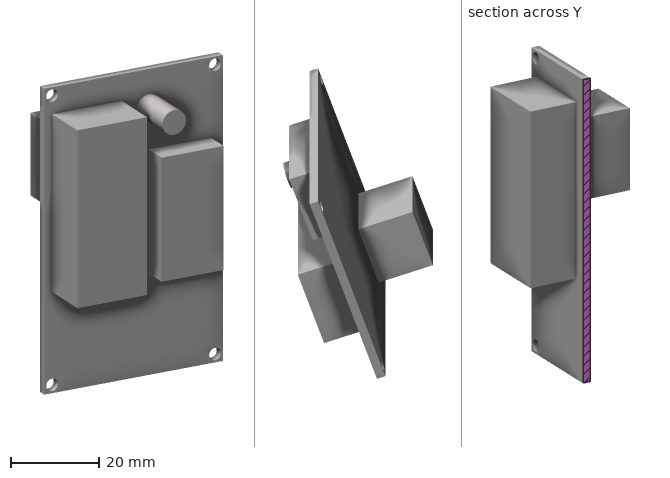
import cadquery as cq

board_thickness = 2.0
board_width = 46.0
board_height = 74.0
hole_diameter = 3.0
hole_inset = 2.0

rear_block_depth = 13.0
rear_block_width = 14.0
rear_block_height = 20.0
rear_block_side_margin = 4.5
rear_block_top_margin = 11.5

tall_block_depth = 12.0
tall_block_width = 18.0
tall_block_height = 43.0
tall_block_side_margin = 2.0
tall_block_top_margin = 6.5

post_diameter = 6.0
post_length = 12.0
post_side_margin = 27.0
post_top_margin = 9.0

low_block_depth = 6.0
low_block_height = 30.0
low_block_far_side_margin = 3.0
low_block_side_margin = post_side_margin
low_block_width = board_width - low_block_side_margin - low_block_far_side_margin
low_block_top_margin = tall_block_top_margin + tall_block_height - low_block_height

min_y = -board_width / 2
max_z = board_height / 2


def block(start_x, depth, width, height, side_margin, top_margin):
    """Rectangular block placed from the board's -Y and top edges."""
    corner = (start_x, min_y + side_margin, max_z - top_margin - height)
    return cq.Workplane("XY").box(depth, width, height, centered=False).translate(corner)


def make_board():
    board = block(0, board_thickness, board_width, board_height, 0, 0)
    holes = (
        cq.Workplane("YZ")
        .rect(board_width - 2 * hole_inset, board_height - 2 * hole_inset, forConstruction=True)
        .vertices()
        .circle(hole_diameter / 2)
        .extrude(board_thickness)
    )
    return board.cut(holes)


def make_post():
    return (
        cq.Workplane("YZ", origin=(board_thickness, 0, 0))
        .center(min_y + post_side_margin, max_z - post_top_margin)
        .circle(post_diameter / 2)
        .extrude(post_length)
    )


rear_block = block(
    -rear_block_depth, rear_block_depth, rear_block_width, rear_block_height,
    rear_block_side_margin, rear_block_top_margin,
)
tall_block = block(
    board_thickness, tall_block_depth, tall_block_width, tall_block_height,
    tall_block_side_margin, tall_block_top_margin,
)
low_block = block(
    board_thickness, low_block_depth, low_block_width, low_block_height,
    low_block_side_margin, low_block_top_margin,
)

result = make_board().union(rear_block).union(tall_block).union(low_block).union(make_post())